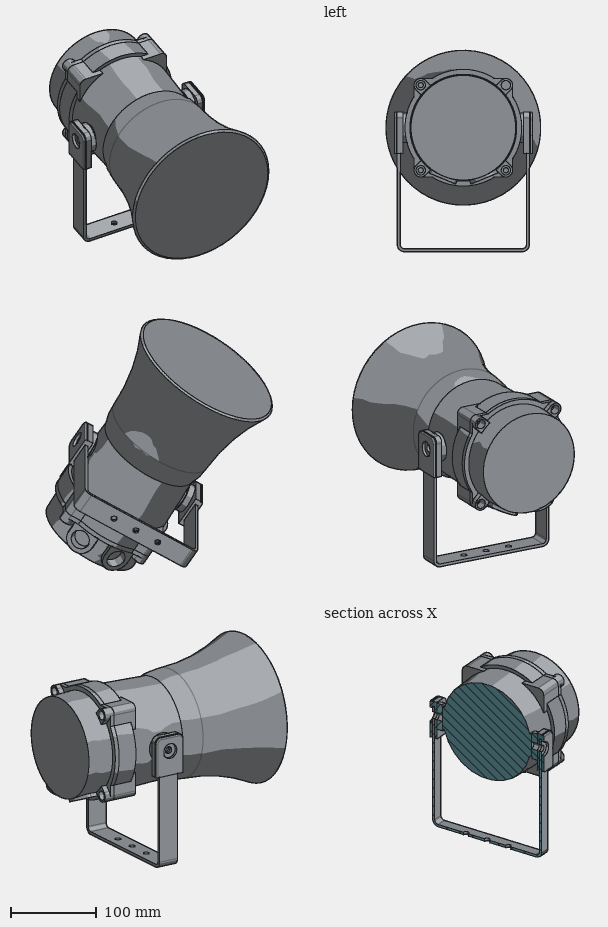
import cadquery as cq
import math


lug_boss_back_x = 25.3
flange_back_x = 32.3
joint_x = 37.8
flange_front_x = 61.2
lug_front_x = 68.0
throat_x = 131.5
flare_start_x = 157.0
rim_x = 258.5
length = 260.5

cover_back_radius = 61.2
cover_front_radius = 62.8
housing_back_radius = 64.5
throat_radius = 61.2
flange_radius = 68.3
flare_start_radius = 66.2
rim_radius = 90.7
mouth_radius = 88.0

shoulder_point = (143.3, 65.0)
flare_point = (208.5, 72.7)

hole_offset = 49.8
lug_radius = 7.8
lug_half_width = hole_offset + lug_radius
screw_hole_diameter = 11.0
pilot_hole_diameter = 6.0
pilot_hole_depth = 20.8
corners = [(y_side, z_side) for y_side in (-1, 1) for z_side in (-1, 1)]
unpiloted_corner = (-1, 1)

entry_tilt = 22.5
entry_x = 17.0
entry_radius = 17.0
entry_face_distance = 64.4
entry_hole_diameter = 22.5
entry_hole_depth = 13.0

pivot_x = 101.0
pivot_hole_diameter = 8.3
bracket_width = 25.3
bracket_thickness = 3.6
bracket_half_span = 77.5
bracket_bend_radius = 8.5
bracket_bottom_z = -145.2
bracket_hole_diameter = 6.8
bracket_hole_pitch = 30.0

pad_width = 38.3
pad_top_z = 18.5
pad_bottom_z = -30.0
pad_inner_y = 70.5
pad_outer_y = 80.8
pad_corner_radius = 7.0
pad_lip_thickness = 2.3
pad_lip_fillet = 2.0
pad_groove_depth = 0.8
pad_recess_diameter = 18.2
bracket_top_z = pad_top_z - (pad_width - bracket_width) / 2

spacer_radius = 17.5
spacer_inner_y = 63.0
neck_radius = 14.9


def x_cylinder(radius, start_x, end_x, y=0, z=0):
    """Cylinder along +X between two stations."""
    return (
        cq.Workplane("YZ", origin=(start_x, y, z))
        .circle(radius)
        .extrude(end_x - start_x)
    )


def side_cylinder(side, radius, near_y, far_y):
    """Cylinder on the pivot axis, between two distances from the middle plane."""
    solid = cq.Solid.makeCylinder(
        radius, far_y - near_y, cq.Vector(pivot_x, side * near_y, 0), cq.Vector(0, side, 0)
    )
    return cq.Workplane(solid)


def cone(back_radius, front_radius, start_x, end_x):
    """Cone frustum about the sound axis."""
    return (
        cq.Workplane("XY")
        .moveTo(start_x, 0)
        .lineTo(start_x, back_radius)
        .lineTo(end_x, front_radius)
        .lineTo(end_x, 0)
        .close()
        .revolve(360, (0, 0, 0), (1, 0, 0))
    )


def lug_square(start_x, end_x):
    """Rounded square whose corners are the four screw lugs."""
    return (
        cq.Workplane("YZ", origin=(start_x, 0, 0))
        .rect(2 * lug_half_width, 2 * lug_half_width)
        .extrude(end_x - start_x)
        .edges("|X")
        .fillet(lug_radius)
    )


def lug_boss(y_side, z_side):
    """Raised screw boss on the cover, running from the screw axis inward to the wall."""
    reach = hole_offset / 2
    boss_length = math.hypot(reach, reach) + 2 * lug_radius
    centre_offset = hole_offset - reach / 2
    return (
        cq.Workplane("YZ", origin=(lug_boss_back_x, 0, 0))
        .center(y_side * centre_offset, z_side * centre_offset)
        .transformed(rotate=(0, 0, 45 * y_side * z_side))
        .slot2D(boss_length, 2 * lug_radius)
        .extrude(joint_x - lug_boss_back_x)
    )


def entry_plane(tilt):
    """Workplane on the sound axis whose normal points out through a cable entry."""
    angle = math.radians(tilt)
    return cq.Plane(
        origin=(0, 0, 0), xDir=(1, 0, 0), normal=(0, math.sin(angle), -math.cos(angle))
    )


def entry_boss(tilt):
    """Flat-faced boss, rounded at the back, running forward into the flange."""
    straight_length = joint_x - entry_x
    return (
        cq.Workplane(entry_plane(tilt))
        .center(entry_x, 0)
        .circle(entry_radius)
        .extrude(entry_face_distance)
        .union(
            cq.Workplane(entry_plane(tilt))
            .center(entry_x + straight_length / 2, 0)
            .rect(straight_length, 2 * entry_radius)
            .extrude(entry_face_distance)
        )
    )


def entry_hole(tilt):
    """Blind cable hole in an entry face."""
    return (
        cq.Workplane(entry_plane(tilt))
        .workplane(offset=entry_face_distance - entry_hole_depth)
        .center(entry_x, 0)
        .circle(entry_hole_diameter / 2)
        .extrude(entry_hole_depth)
    )


def screw_hole(diameter, start_x, end_x, y_side, z_side):
    """Cylinder that cuts a screw hole on one corner's screw axis."""
    return x_cylinder(diameter / 2, start_x, end_x, y_side * hole_offset, z_side * hole_offset)


def make_cover():
    cover = cone(cover_back_radius, cover_front_radius, 0, joint_x)
    cover = cover.union(x_cylinder(flange_radius, flange_back_x, joint_x))
    cover = cover.union(lug_square(flange_back_x, joint_x))
    for tilt in (-entry_tilt, entry_tilt):
        cover = cover.union(entry_boss(tilt))
    for tilt in (-entry_tilt, entry_tilt):
        cover = cover.cut(entry_hole(tilt))
    for corner in corners:
        cover = cover.union(lug_boss(*corner))
    for corner in corners:
        cover = cover.cut(screw_hole(screw_hole_diameter, lug_boss_back_x, joint_x, *corner))
    return cover


def make_housing():
    housing = cone(housing_back_radius, throat_radius, joint_x, throat_x)
    housing = housing.union(x_cylinder(flange_radius, joint_x, flange_front_x))
    housing = housing.union(lug_square(joint_x, lug_front_x))
    for side in (-1, 1):
        housing = housing.union(side_cylinder(side, neck_radius, 0, spacer_inner_y))
    pilot_end_x = joint_x + pilot_hole_depth
    for corner in corners:
        if corner != unpiloted_corner:
            housing = housing.cut(screw_hole(pilot_hole_diameter, joint_x, pilot_end_x, *corner))
    return housing


def make_horn():
    """Solid horn: a rounded shoulder, then a flare that leaves it nearly parallel to the axis."""
    return (
        cq.Workplane("XY")
        .moveTo(throat_x, 0)
        .lineTo(throat_x, throat_radius)
        .threePointArc(shoulder_point, (flare_start_x, flare_start_radius))
        .threePointArc(flare_point, (rim_x, rim_radius))
        .lineTo(length, mouth_radius)
        .lineTo(length, 0)
        .close()
        .revolve(360, (0, 0, 0), (1, 0, 0))
    )


def pivot_hole():
    """Bolt hole along the pivot axis, for the parts on either side of the housing."""
    return side_cylinder(1, pivot_hole_diameter / 2, -pad_outer_y, pad_outer_y)


def make_bracket_blank():
    """U-shaped strip without holes."""
    height = bracket_top_z - bracket_bottom_z
    inner_half_span = bracket_half_span - bracket_thickness
    outer = (
        cq.Workplane("XY", origin=(pivot_x, 0, bracket_bottom_z))
        .box(bracket_width, 2 * bracket_half_span, height, centered=(True, True, False))
        .edges("|X and <Z")
        .fillet(bracket_bend_radius)
    )
    inner = (
        cq.Workplane("XY", origin=(pivot_x, 0, bracket_bottom_z + bracket_thickness))
        .box(bracket_width, 2 * inner_half_span, height, centered=(True, True, False))
        .edges("|X and <Z")
        .fillet(bracket_bend_radius - bracket_thickness)
    )
    return outer.cut(inner)


def make_bracket():
    base_holes = (
        cq.Workplane("XY", origin=(pivot_x, 0, bracket_bottom_z))
        .rarray(2.5, bracket_hole_pitch, 1, 3)
        .circle(bracket_hole_diameter / 2)
        .extrude(bracket_thickness)
    )
    return make_bracket_blank().cut(base_holes).cut(pivot_hole())


def pad_slab(near_y, far_y, inset=0):
    """Plate with rounded top corners, on the +Y side; the inset narrows it at the sides and top."""
    height = pad_top_z - pad_bottom_z - inset
    return (
        cq.Workplane("XY", origin=(pivot_x, near_y, pad_bottom_z))
        .box(pad_width - 2 * inset, far_y - near_y, height, centered=(True, False, False))
        .edges("|Y and >Z")
        .fillet(pad_corner_radius - inset)
    )


def make_pad(side):
    """Pad over the end of a bracket leg, with a groove behind its rounded outer lip."""
    lip_back_y = pad_outer_y - pad_lip_thickness
    lip = pad_slab(lip_back_y, pad_outer_y)
    lip = lip.faces(">Y").edges("not <Z").fillet(pad_lip_fillet)
    pad = pad_slab(pad_inner_y, bracket_half_span)
    pad = pad.union(pad_slab(bracket_half_span, lip_back_y, pad_groove_depth))
    pad = pad.union(lip)
    recess = side_cylinder(1, pad_recess_diameter / 2, bracket_half_span, pad_outer_y)
    pad = pad.cut(make_bracket_blank()).cut(recess).cut(pivot_hole())
    if side < 0:
        pad = pad.mirror("XZ")
    return pad


def make_spacer(side):
    """Round spacer between the housing neck and a pad."""
    return side_cylinder(side, spacer_radius, spacer_inner_y, pad_inner_y).cut(pivot_hole())


cover = make_cover()
housing = make_housing()
horn = make_horn()
bracket = make_bracket()
pads = [make_pad(side) for side in (-1, 1)]
spacers = [make_spacer(side) for side in (-1, 1)]

result = cq.Compound.makeCompound(
    [
        cover.val(),
        housing.val(),
        horn.val(),
        bracket.val(),
        *[pad.val() for pad in pads],
        *[spacer.val() for spacer in spacers],
    ]
)